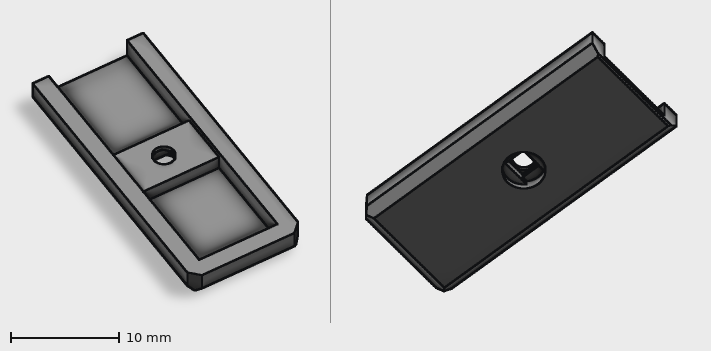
import cadquery as cq

length = 28.45
width = 12.0
height = 2.85
chamfer = 1.0
open_end_chamfer = 0.2

wall = 1.75
floor = 0.75
channel_width = width - 2 * wall

bridge_start = 11.0
bridge_length = 5.32
bridge_top = 2.25

hole_x = 13.49
hole_diameter = 2.2
head_diameter = 4.0
step_height = 0.5
square_top = bridge_top - step_height
slot_top = square_top - step_height
head_top = slot_top - step_height


def block(x_start, x_size, y_size, z_bottom, z_top):
    """Box centred on Y = 0, placed by its low-X face and its Z range."""
    box = cq.Workplane("XY").box(x_size, y_size, z_top - z_bottom, centered=(False, True, False))
    return box.translate((x_start, 0, z_bottom))


def screw_cylinder(diameter, top):
    """Cylinder on the screw axis, rising from the underside."""
    return cq.Workplane("XY").center(hole_x, 0).circle(diameter / 2).extrude(top)


def outer_body():
    """Block with a bevelled underside and bevelled upright corners at the closed end."""
    body = block(0, length, width, 0, height)
    body = body.faces("<Z").edges("not <X").chamfer(chamfer)
    body = body.faces("<Z").edges("<X").chamfer(open_end_chamfer)
    for side in (-1, 1):
        corner = (
            cq.Workplane("XY")
            .moveTo(length, side * width / 2)
            .lineTo(length - chamfer, side * width / 2)
            .lineTo(length, side * (width / 2 - chamfer))
            .close()
            .extrude(height)
        )
        body = body.cut(corner)
    return body


def screw_opening():
    """Round hole, square step, slot across Y trimmed to the head circle, and head recess."""
    hole = screw_cylinder(hole_diameter, height)
    step_start = hole_x - hole_diameter / 2
    square = block(step_start, hole_diameter, hole_diameter, 0, square_top)
    slot = block(step_start, hole_diameter, head_diameter, 0, slot_top)
    slot = slot.intersect(screw_cylinder(head_diameter, height))
    head = screw_cylinder(head_diameter, head_top)
    return hole.union(square).union(slot).union(head)


channel = block(0, length - wall, channel_width, floor, height)
bridge = block(bridge_start, bridge_length, channel_width, floor, bridge_top)

result = outer_body().cut(channel).union(bridge).cut(screw_opening())